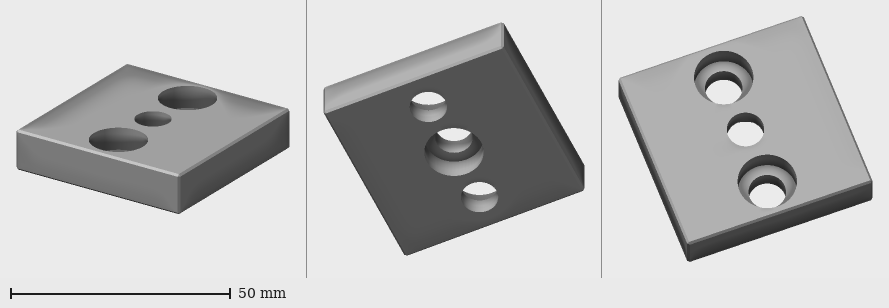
import cadquery as cq

side = 45
thickness = 10.0
edge_chamfer = 0.5

hole_diameter = 8.5
hole_spacing = 14.0
counterbore_diameter = 13.5
counterbore_depth = 5.5


def add_counterbored_holes(body, face, points):
    """Cut through holes with counterbores sunk into the selected face."""
    return (
        body.faces(face)
        .workplane(origin=(0, 0, 0))
        .pushPoints(points)
        .cboreHole(hole_diameter, counterbore_diameter, counterbore_depth)
    )


plate = cq.Workplane("XY").box(side, side, thickness).edges().chamfer(edge_chamfer)

plate = add_counterbored_holes(plate, ">Z", [(0, -hole_spacing), (0, hole_spacing)])
plate = add_counterbored_holes(plate, "<Z", [(0, 0)])

result = plate